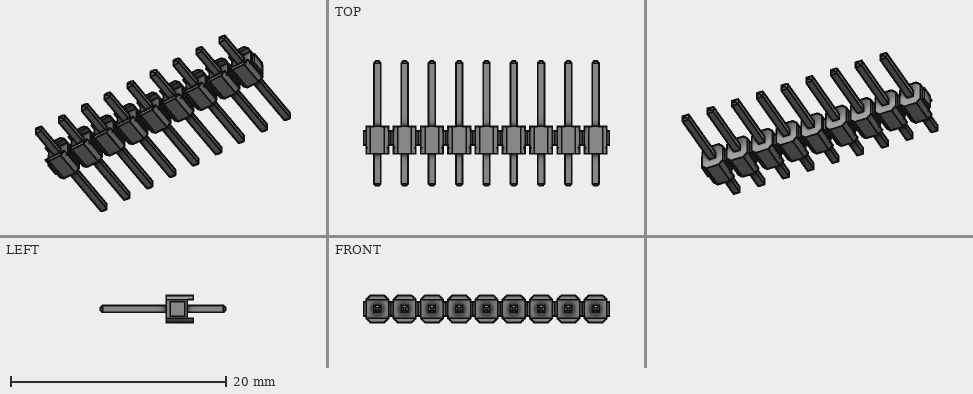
import cadquery as cq


row_length = 22.85
position_count = 9
pitch = row_length / position_count

block_width = 2.1
block_height = pitch
block_depth = 2.54
corner_chamfer = 0.41

recess_depth = 0.55
recess_height = block_height - 2 * corner_chamfer
core_depth = block_depth - recess_depth

web_size = 1.33
web_back_gap = 0.41

pin_size = 0.65
pin_length = 11.64
pin_front_reach = 3.0
tip_length = 0.2
tip_size = 0.25
pin_front = -block_depth - pin_front_reach
pin_back = pin_front + pin_length


def box_along_y(width, height, y_front, y_back):
    """A box centred on the pin axis, between two Y positions."""
    return (
        cq.Workplane("XY")
        .box(width, y_back - y_front, height)
        .translate((0, (y_front + y_back) / 2, 0))
    )


def make_block():
    """The octagonal block with the recess across its front."""
    block = (
        box_along_y(block_width, block_height, -block_depth, 0)
        .edges("|Y")
        .chamfer(corner_chamfer)
    )
    recess = box_along_y(block_width, recess_height, -block_depth, -core_depth)
    return block.cut(recess)


def make_web():
    """The square web, one pitch long, so that adjacent positions meet face to face."""
    return box_along_y(pitch, web_size, -web_back_gap - web_size, -web_back_gap)


def make_tip(y_base, y_end):
    """A pyramid frustum that narrows from the pin section to the tip section."""
    return (
        cq.Workplane("XZ", origin=(0, y_base, 0))
        .rect(pin_size, pin_size)
        .workplane(offset=y_base - y_end)
        .rect(tip_size, tip_size)
        .loft(ruled=True)
    )


def make_pin():
    """The square shank with a tapered tip at each end."""
    shank_front = pin_front + tip_length
    shank_back = pin_back - tip_length
    shank = box_along_y(pin_size, pin_size, shank_front, shank_back)
    return shank.union(make_tip(shank_front, pin_front)).union(make_tip(shank_back, pin_back))


def make_position():
    """One header position, with block, web and pin in one piece."""
    return make_block().union(make_web()).union(make_pin())


header_position = make_position().solids()
first_x = -(position_count - 1) * pitch / 2
header_positions = [
    header_position.translate((first_x + index * pitch, 0, 0)).val()
    for index in range(position_count)
]

result = cq.Compound.makeCompound(header_positions)